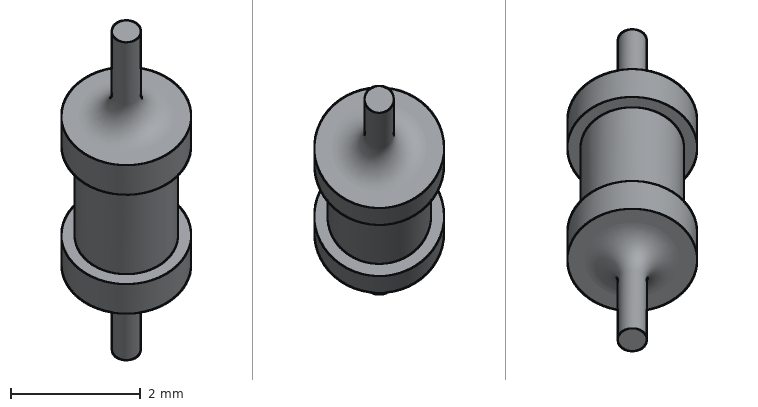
import cadquery as cq
import math

total_length = 7.5
body_length = 3.5
cap_height = 0.7
cap_radius = 2.0 / 2
sleeve_radius = 1.6 / 2
lead_radius = 0.45 / 2
flare_radius = 0.5

lead_end = total_length / 2
cap_face = body_length / 2
cap_step = cap_face - cap_height
flare_top = cap_face + flare_radius
flare_base_radius = lead_radius + flare_radius

arc_offset = flare_radius * math.sqrt(0.5)
flare_middle = (flare_base_radius - arc_offset, flare_top - arc_offset)

upper_end = (
    cq.Workplane("XZ")
    .moveTo(0, cap_step)
    .lineTo(cap_radius, cap_step)
    .lineTo(cap_radius, cap_face)
    .lineTo(flare_base_radius, cap_face)
    .threePointArc(flare_middle, (lead_radius, flare_top))
    .lineTo(lead_radius, lead_end)
    .lineTo(0, lead_end)
    .close()
    .revolve(360, (0, 0), (0, 1))
)
lower_end = upper_end.mirror("XY")

sleeve = cq.Workplane("XY").circle(sleeve_radius).extrude(2 * cap_step).translate((0, 0, -cap_step))

result = sleeve.union(upper_end).union(lower_end)